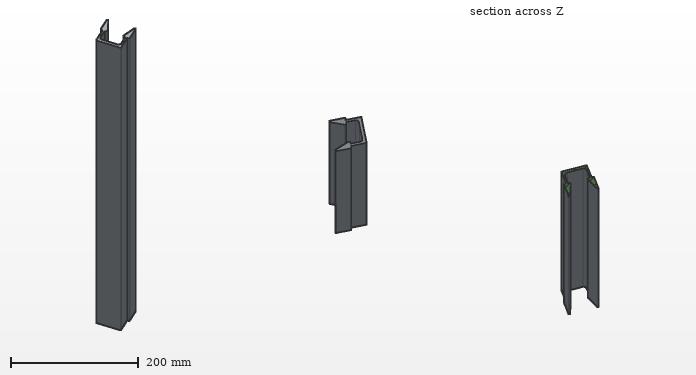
import cadquery as cq

length = 609.5
width = 50.0
depth = 50.5

channel_width = 42.5
wall = 3.5
floor = 5.5
inner_radius = 5.0

jaw_depth = 25.5
jaw_base = 12.0
jaw_tip = 2.5

edge_radius = 1.0
jaw_inner_radius = 2.5
tip_radius = 0.9

half_width = width / 2
half_channel = channel_width / 2
half_cavity = half_channel - wall
back_y = -depth / 2
tip_y = depth / 2
jaw_y = tip_y - jaw_depth
jaw_inner_x = half_width - jaw_base


def extrude_outline(points):
    return cq.Workplane("XY").polyline(points).close().extrude(length)


def round_edges(body, corners, radius):
    """Round the lengthwise edges at the given corners on both sides."""
    reach = 0.05
    for corner_x, corner_y in corners:
        for x in (-corner_x, corner_x):
            selector = cq.selectors.BoxSelector(
                (x - reach, corner_y - reach, 0),
                (x + reach, corner_y + reach, length),
            )
            body = body.edges(selector).fillet(radius)
    return body


right_side = [
    (half_channel, back_y),
    (half_channel, jaw_y),
    (half_width, jaw_y),
    (half_width, tip_y),
    (half_width - jaw_tip, tip_y),
    (jaw_inner_x, jaw_y),
    (half_cavity, jaw_y),
    (half_cavity, back_y + floor),
]
left_side = [(-x, y) for x, y in reversed(right_side)]
profile = extrude_outline(right_side + left_side)

outer_corners = [
    (half_channel, back_y),
    (half_width, jaw_y),
]
tip_corners = [
    (half_width, tip_y),
    (half_width - jaw_tip, tip_y),
]
cavity_corners = [(half_cavity, back_y + floor)]

profile = round_edges(profile, outer_corners, edge_radius)
profile = round_edges(profile, [(jaw_inner_x, jaw_y)], jaw_inner_radius)
profile = round_edges(profile, tip_corners, tip_radius)
result = round_edges(profile, cavity_corners, inner_radius)